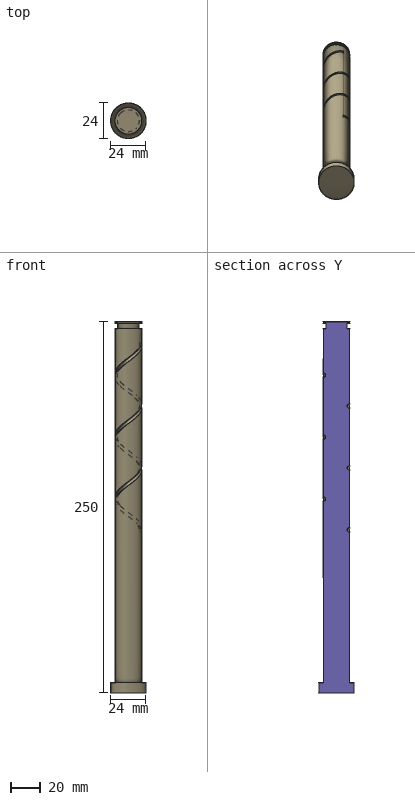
import cadquery as cq

total_length = 250.0
shaft_diameter = 18.0
head_diameter = 24.0
head_height = 7.0

ring_groove_diameter = 14.5
ring_groove_width = 3.5
tip_collar_height = 1.3

spiral_turns = 3
spiral_height = total_length / 2
spiral_start_height = 109.75
spiral_groove_radius = 1.35
spiral_groove_depth = 1.6

shaft_radius = shaft_diameter / 2


def make_pin_blank():
    head = cq.Workplane("XY").circle(head_diameter / 2).extrude(head_height)
    shaft = cq.Workplane("XY").circle(shaft_radius).extrude(total_length)
    return head.union(shaft)


def make_ring_groove_cutter():
    groove_bottom = total_length - tip_collar_height - ring_groove_width
    return (
        cq.Workplane("XY")
        .workplane(offset=groove_bottom)
        .circle(head_diameter / 2)
        .circle(ring_groove_diameter / 2)
        .extrude(ring_groove_width)
    )


def make_spiral_cutter():
    pitch = spiral_height / spiral_turns
    path = cq.Wire.makeHelix(pitch, spiral_height, shaft_radius)
    section_center_x = shaft_radius - spiral_groove_depth + spiral_groove_radius
    cutter = (
        cq.Workplane("XZ")
        .center(section_center_x, 0)
        .circle(spiral_groove_radius)
        .sweep(path, isFrenet=True)
    )
    return cutter.translate((0, 0, spiral_start_height))


result = make_pin_blank().cut(make_ring_groove_cutter()).cut(make_spiral_cutter())